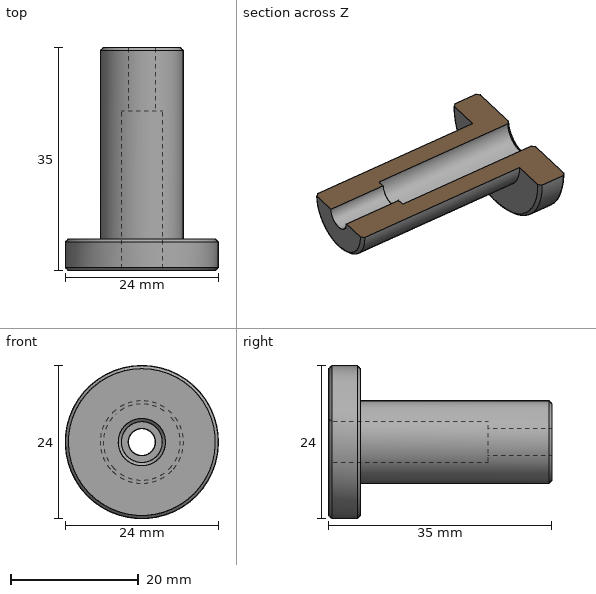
import cadquery as cq

total_length = 35.0
edge_chamfer = 0.5

head_diameter = 24.0
head_thickness = 5.0

shank_diameter = 13.0

bore_diameter = 6.4
bore_depth = 25.0
through_diameter = 4.2


def cylinder_along_y(diameter, start, length):
    """Solid cylinder on the Y axis, running from y = start towards +Y."""
    axis_start = cq.Vector(0, start, 0)
    axis_direction = cq.Vector(0, 1, 0)
    return cq.Workplane(obj=cq.Solid.makeCylinder(diameter / 2, length, axis_start, axis_direction))


def make_head():
    """Disc with both rims chamfered."""
    head = cylinder_along_y(head_diameter, 0, head_thickness)
    return head.faces("<Y or >Y").edges().chamfer(edge_chamfer)


def make_shank():
    """Plain shank with its free end chamfered."""
    shank = cylinder_along_y(shank_diameter, head_thickness, total_length - head_thickness)
    return shank.faces(">Y").edges().chamfer(edge_chamfer)


def make_bore():
    """Wide bore from the head face, a narrower through hole and an entry countersink."""
    wide_bore = cylinder_along_y(bore_diameter, 0, bore_depth)
    through_hole = cylinder_along_y(through_diameter, 0, total_length)
    countersink = cq.Workplane(
        obj=cq.Solid.makeCone(
            bore_diameter / 2 + edge_chamfer,
            bore_diameter / 2,
            edge_chamfer,
            cq.Vector(0, 0, 0),
            cq.Vector(0, 1, 0),
        )
    )
    return wide_bore.union(through_hole).union(countersink)


result = make_head().union(make_shank()).cut(make_bore())